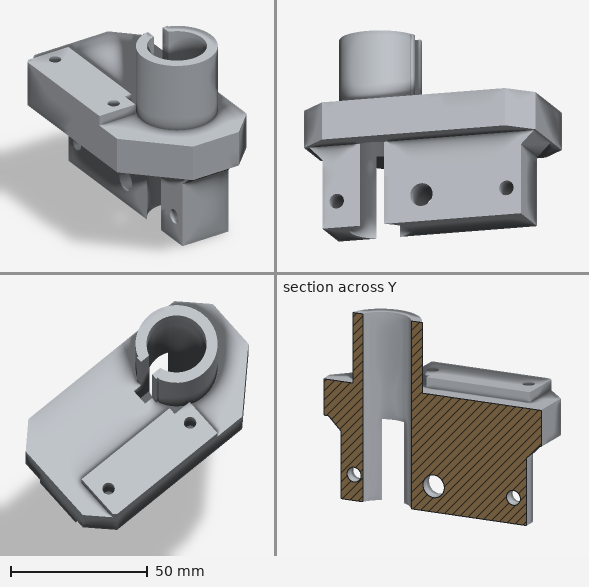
import cadquery as cq
import math

plate_length = 89.0
plate_width = 50.0
plate_bottom = 31.0
plate_top = 45.0
small_chamfer = 8.9
back_right_chamfer = 10.0
front_right_chamfer = 20.0

tube_x = 63.0
tube_y = 30.0
tube_top = 72.0
tube_radius = 30.0 / 2
bore_diameter = 22.0
flat_width = 12.55
lip_left = 48.6
lip_width = 10.9
slot_left = 45.2
slot_width = 6.3

pad_left = 7.7
pad_right = 57.1
pad_step_x = 50.0
pad_depth = 18.7
pad_step_depth = 15.75
pad_top = 49.0
pad_hole_diameter = 4.5
pad_hole_xs = (12.9, 52.1)
pad_hole_y = 9.5
pad_hole_depth = 10.0

web_left = 6.0
web_right = 82.1
web_thickness = 20.0
gusset = 5.0
cross_hole_z = 10.0
cross_holes = ((11.5, 5.5), (44.05, 8.5), (76.5, 5.5))


def make_plate():
    outline = [
        (small_chamfer, 0),
        (plate_length - front_right_chamfer, 0),
        (plate_length, front_right_chamfer),
        (plate_length, plate_width - back_right_chamfer),
        (plate_length - back_right_chamfer, plate_width),
        (small_chamfer, plate_width),
        (0, plate_width - small_chamfer),
        (0, small_chamfer),
    ]
    height = plate_top - plate_bottom
    return cq.Workplane("XY").workplane(offset=plate_bottom).polyline(outline).close().extrude(height)


def make_pad():
    outline = [
        (small_chamfer, 0),
        (pad_right, 0),
        (pad_right, pad_step_depth),
        (pad_step_x, pad_step_depth),
        (pad_step_x, pad_depth),
        (pad_left, pad_depth),
        (pad_left, small_chamfer - pad_left),
    ]
    height = pad_top - plate_top
    return cq.Workplane("XY").workplane(offset=plate_top).polyline(outline).close().extrude(height)


def make_tube():
    half_flat = flat_width / 2
    flat_x = tube_x - math.sqrt(tube_radius**2 - half_flat**2)
    height = tube_top - plate_top
    base = cq.Workplane("XY").workplane(offset=plate_top)
    body = (
        base.moveTo(flat_x, tube_y - half_flat)
        .threePointArc((tube_x + tube_radius, tube_y), (flat_x, tube_y + half_flat))
        .close()
        .extrude(height)
    )
    lip_length = tube_x - lip_left
    lips = base.center(lip_left + lip_length / 2, tube_y).rect(lip_length, lip_width).extrude(height)
    return body.union(lips)


def make_web():
    profile = [
        (web_left, 0),
        (web_right, 0),
        (web_right, plate_bottom - gusset),
        (web_right + gusset, plate_bottom),
        (web_left - gusset, plate_bottom),
        (web_left, plate_bottom - gusset),
    ]
    back_face = tube_y + web_thickness / 2
    return cq.Workplane("XZ", origin=(0, back_face, 0)).polyline(profile).close().extrude(web_thickness)


def bore_cutter():
    return cq.Workplane("XY").center(tube_x, tube_y).circle(bore_diameter / 2).extrude(tube_top)


def slot_cutter():
    length = tube_x - slot_left
    return (
        cq.Workplane("XY")
        .workplane(offset=plate_bottom)
        .center(slot_left + length / 2, tube_y)
        .rect(length, slot_width)
        .extrude(tube_top - plate_bottom)
    )


def pad_hole_cutter():
    return (
        cq.Workplane("XY")
        .workplane(offset=pad_top)
        .pushPoints([(x, pad_hole_y) for x in pad_hole_xs])
        .circle(pad_hole_diameter / 2)
        .extrude(-pad_hole_depth)
    )


def cross_hole_cutter(x, diameter):
    return (
        cq.Workplane("XZ", origin=(0, plate_width, 0))
        .center(x, cross_hole_z)
        .circle(diameter / 2)
        .extrude(plate_width)
    )


result = make_plate().union(make_pad()).union(make_tube()).union(make_web())
result = result.cut(slot_cutter()).cut(bore_cutter()).cut(pad_hole_cutter())
for hole_x, hole_diameter in cross_holes:
    result = result.cut(cross_hole_cutter(hole_x, hole_diameter))